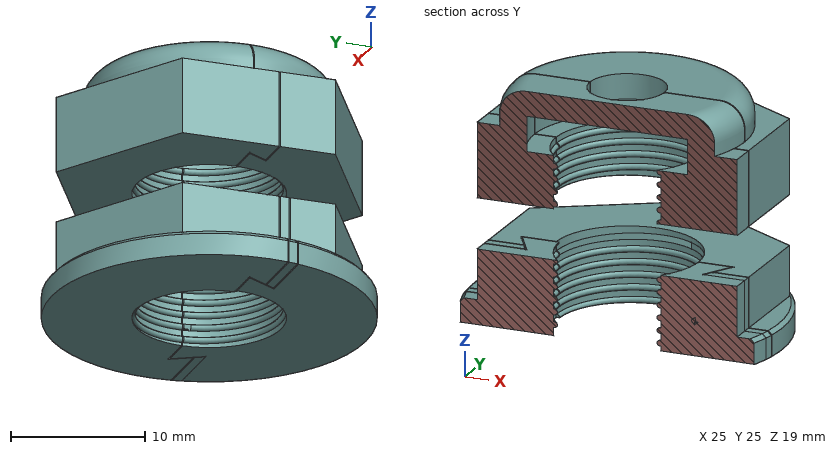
import cadquery as cq
import math

flange_dia = 25
flange_height = 2
flange_chamfer = 0.3
lower_hex_height = 4
nut_gap = 4
upper_hex_height = 6
dome_height = 3
lower_top = flange_height + lower_hex_height
upper_bottom = lower_top + nut_gap
dome_bottom = upper_bottom + upper_hex_height
dome_top = dome_bottom + dome_height

hex_across_flats = 21.05
corner_turn = 30
hex_across_corners = hex_across_flats / math.cos(math.radians(corner_turn))

dome_dia = 19
dome_fillet = 2
cable_hole_dia = 6
cap_thickness = 2
chamber_dia = 15
chamber_height = 2.75
chamber_top = dome_top - cap_thickness
chamber_bottom = chamber_top - chamber_height

bore_dia = 11.5
bead_radius = 0.25
thread_pitch = 1
upper_thread_start = 0
lower_thread_start = 180

seam_gap = 0.1
half_gap = seam_gap / 2
hook_half_width = 8.55
hook_angle = 30
upper_run_y = -1.65
lower_run_y = -2.45
reach = flange_dia


def cylinder(bottom, top, dia):
    return cq.Workplane("XY").workplane(offset=bottom).circle(dia / 2).extrude(top - bottom)


def hexagon(bottom, height):
    prism = cq.Workplane("XY").polygon(6, hex_across_corners).extrude(height)
    return prism.rotate((0, 0, 0), (0, 0, 1), corner_turn).translate((0, 0, bottom))



def thread_bead(length):
    """Left-handed bead that winds up the bore wall from a start on the +X side at Z = 0."""
    path = cq.Wire.makeHelix(thread_pitch, length, bore_dia / 2, lefthand=True)
    profile = cq.Workplane("XZ").center(bore_dia / 2, 0).circle(bead_radius)
    return profile.sweep(cq.Workplane(path), isFrenet=True)


def threaded_bore(bottom, top, start_angle):
    """Space inside a threaded bore: a cylinder without the bead."""
    length = top - bottom
    bore = cylinder(0, length, bore_dia).cut(thread_bead(length))
    return bore.rotate((0, 0, 0), (0, 0, 1), start_angle).translate((0, 0, bottom))



def hook_x(y, offset):
    """Half width of the hook line at height y, moved outward by offset along its normal."""
    angle = math.radians(hook_angle)
    return hook_half_width + y * math.tan(angle) + offset / math.cos(angle)


def seam_region(left_run_y, right_run_y, offset, far_y):
    """Prism between the seam, moved by offset along Y, and far_y."""
    outline = [
        (-reach, far_y),
        (-reach, left_run_y),
        (-hook_x(left_run_y, offset), left_run_y),
        (-hook_x(offset, offset), offset),
        (hook_x(offset, offset), offset),
        (hook_x(right_run_y, offset), right_run_y),
        (reach, right_run_y),
        (reach, far_y),
    ]
    return cq.Workplane("XY").polyline(outline).close().extrude(dome_top)


def back_region():
    run_y = upper_run_y + half_gap
    return seam_region(run_y, run_y, half_gap, reach)


def upper_front_region():
    run_y = upper_run_y - half_gap
    return seam_region(run_y, run_y, -half_gap, -reach)


def lower_front_region():
    """The right run has no gap: there the front half touches the wedge."""
    return seam_region(lower_run_y - half_gap, lower_run_y + half_gap, -half_gap, -reach)



def dome_half(direction):
    """Half of the dome on the +Y (direction 1) or -Y (direction -1) side."""
    dome = cylinder(dome_bottom, dome_top, dome_dia).faces(">Z").edges().fillet(dome_fillet)
    side = cq.Workplane("XY").box(2 * reach, reach, 2 * reach)
    return dome.intersect(side.translate((0, direction * (reach / 2 + half_gap), 0)))


def upper_half(region, direction):
    half = hexagon(upper_bottom, upper_hex_height).intersect(region).union(dome_half(direction))
    half = half.cut(cylinder(chamber_bottom, chamber_top, chamber_dia))
    half = half.cut(cylinder(chamber_top, dome_top, cable_hole_dia))
    return half.cut(threaded_bore(upper_bottom, chamber_bottom, upper_thread_start))



def flanged_nut():
    flange = cylinder(0, flange_height, flange_dia).faces(">Z").edges().chamfer(flange_chamfer)
    nut = flange.union(hexagon(flange_height, lower_hex_height))
    return nut.cut(threaded_bore(0, lower_top, lower_thread_start))


def wedge(nut, direction):
    """Wedge of the flanged nut on the +X or -X side, between the two runs and outside the hook."""
    top_y = upper_run_y - half_gap
    bottom_y = lower_run_y + half_gap
    outline = [
        (direction * hook_x(top_y, half_gap), top_y),
        (direction * reach, top_y),
        (direction * reach, bottom_y),
        (direction * hook_x(bottom_y, half_gap), bottom_y),
    ]
    return nut.intersect(cq.Workplane("XY").polyline(outline).close().extrude(lower_top))


upper_back = upper_half(back_region(), 1)
upper_front = upper_half(upper_front_region(), -1)
whole_nut = flanged_nut()
lower_back = whole_nut.intersect(back_region())
lower_front = whole_nut.intersect(lower_front_region())
wedges = [wedge(whole_nut, direction) for direction in (-1, 1)]

result = cq.Compound.makeCompound([
    upper_back.val(),
    upper_front.val(),
    lower_back.val(),
    lower_front.val(),
    *[piece.val() for piece in wedges],
])